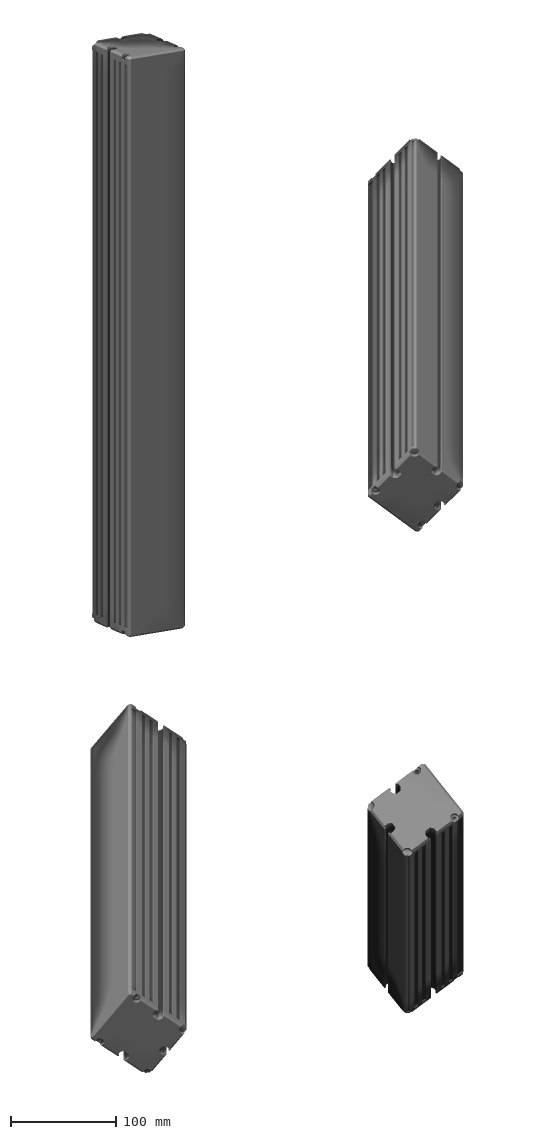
import cadquery as cq

LENGTH = 572.0
WIDTH = 70.0
DEPTH = 64.0
BACK_CHAMFER = 3.15
END_CHAMFER = 2.0

CAP_HEIGHT = 8.0
COVER_THICKNESS = 2.5

SLOT_DEPTH = 9.0
SLOT_NECK_DEPTH = 2.0
SLOT_TAPER_START = 6.0
SLOT_FLOOR_WIDTH = 6.0
SIDE_SLOT_X = -2.6
SIDE_SLOT_OPENING = 7.0
SIDE_SLOT_WIDTH = 10.5
BACK_SLOT_OPENING = 5.0
BACK_SLOT_WIDTH = 9.0

GROOVE_WIDTH = 4.5
GROOVE_DEPTH = 2.0
GROOVE_OFFSETS = (11.5, 20.5)
PANEL_END_OFFSET = 28.5

RECESS_DEPTH = 4.5
BACK_RECESS_RADIUS = 4.5
BACK_RECESS_X = -32.0
BACK_RECESS_Y = 29.0
COVER_RECESS_RADIUS = 4.0
COVER_RECESS_X = 24.5
COVER_RECESS_Y = 29.0
SCREW_HOLE_RADIUS = 2.0

HALF_WIDTH = WIDTH / 2
HALF_DEPTH = DEPTH / 2
HALF_LENGTH = LENGTH / 2
SEAM_X = HALF_WIDTH - COVER_THICKNESS
SEAM_Z = HALF_LENGTH - CAP_HEIGHT


def block(x_min, x_max, y_min, y_max, z_min, z_max):
    """Axis-aligned box between the given limits."""
    size = (x_max - x_min, y_max - y_min, z_max - z_min)
    return cq.Workplane("XY").box(*size, centered=False).translate((x_min, y_min, z_min))


def post(x, y, radius, z_min, z_max):
    """Upright cylinder."""
    return cq.Workplane("XY", origin=(x, y, z_min)).circle(radius).extrude(z_max - z_min)


def slot_cutter(opening, width):
    """Keyhole slot along Z that opens toward -Y, with its mouth centred on the origin."""
    right_side = [
        (opening / 2, 0),
        (opening / 2, SLOT_NECK_DEPTH),
        (width / 2, SLOT_NECK_DEPTH),
        (width / 2, SLOT_TAPER_START),
        (SLOT_FLOOR_WIDTH / 2, SLOT_DEPTH),
    ]
    left_side = [(-x, y) for x, y in reversed(right_side)]
    outline = cq.Workplane("XY").polyline(right_side + left_side).close()
    return outline.extrude(HALF_LENGTH, both=True)


def make_envelope():
    """Outer shape shared by all bodies, with the keyhole slots cut through it."""
    envelope = (
        cq.Workplane("XY").box(WIDTH, DEPTH, LENGTH)
        .edges("|Z and <X").chamfer(BACK_CHAMFER)
        .edges("|Z and >X").chamfer(COVER_THICKNESS)
        .faces("<Z or >Z").chamfer(END_CHAMFER)
    )
    side_slot = slot_cutter(SIDE_SLOT_OPENING, SIDE_SLOT_WIDTH).translate((SIDE_SLOT_X, -HALF_DEPTH, 0))
    back_slot = (
        slot_cutter(BACK_SLOT_OPENING, BACK_SLOT_WIDTH)
        .rotate((0, 0, 0), (0, 0, 1), -90)
        .translate((-HALF_WIDTH, 0, 0))
    )
    return envelope.cut(side_slot).cut(side_slot.mirror("XZ")).cut(back_slot)


def envelope_part(x_min, x_max, z_min, z_max):
    """Piece of the envelope between two X and two Z limits."""
    return ENVELOPE.intersect(block(x_min, x_max, -HALF_DEPTH, HALF_DEPTH, z_min, z_max))


def side_groove(x_min, x_max, side):
    """Shallow groove along the profile in the -Y (side = -1) or +Y (side = 1) face."""
    y_low, y_high = sorted((side * (HALF_DEPTH - GROOVE_DEPTH), side * HALF_DEPTH))
    return block(x_min, x_max, y_low, y_high, -SEAM_Z, SEAM_Z)


def make_profile():
    """Slotted bar between the end caps, with grooves and stepped edges on its -Y and +Y sides."""
    profile = envelope_part(-HALF_WIDTH, SEAM_X, -SEAM_Z, SEAM_Z)
    for side in (-1, 1):
        for direction in (-1, 1):
            for offset in GROOVE_OFFSETS:
                x_min = SIDE_SLOT_X + direction * offset - GROOVE_WIDTH / 2
                profile = profile.cut(side_groove(x_min, x_min + GROOVE_WIDTH, side))
        profile = profile.cut(side_groove(-HALF_WIDTH, SIDE_SLOT_X - PANEL_END_OFFSET, side))
        profile = profile.cut(side_groove(SIDE_SLOT_X + PANEL_END_OFFSET, SEAM_X, side))
    return profile


def make_cap(end):
    """End cap with corner screw recesses; end is 1 for the top and -1 for the bottom."""
    cap = envelope_part(-HALF_WIDTH, SEAM_X, SEAM_Z, HALF_LENGTH)
    floor_z = HALF_LENGTH - RECESS_DEPTH
    for side in (-1, 1):
        cap = cap.cut(post(BACK_RECESS_X, side * BACK_RECESS_Y, BACK_RECESS_RADIUS, floor_z, HALF_LENGTH))
        cover_y = side * COVER_RECESS_Y
        cap = cap.cut(post(COVER_RECESS_X, cover_y, COVER_RECESS_RADIUS, floor_z, HALF_LENGTH))
        cap = cap.cut(post(COVER_RECESS_X, cover_y, SCREW_HOLE_RADIUS, SEAM_Z, HALF_LENGTH))
    return cap if end > 0 else cap.mirror("XY")


def make_cover():
    """Full-length plate on the +X side."""
    return envelope_part(SEAM_X, HALF_WIDTH, -HALF_LENGTH, HALF_LENGTH)


ENVELOPE = make_envelope()
profile = make_profile()
caps = [make_cap(end) for end in (-1, 1)]
cover = make_cover()

result = cq.Compound.makeCompound([profile.val(), *[cap.val() for cap in caps], cover.val()])